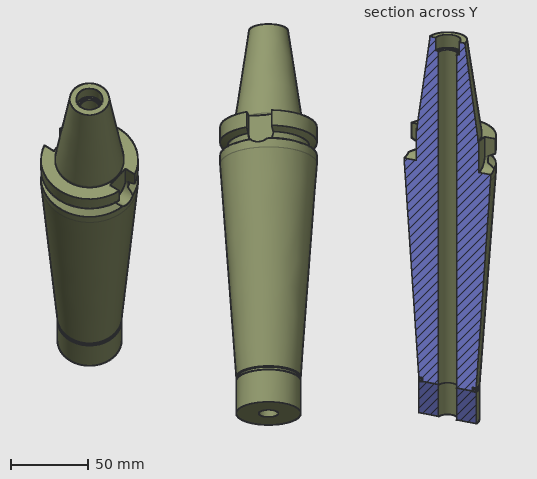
import cadquery as cq

TAPER_LENGTH = 65.3
TAPER_RATIO = 7 / 24
GAUGE_RADIUS = 22.3
TAPER_TIP_RADIUS = GAUGE_RADIUS - TAPER_LENGTH * TAPER_RATIO / 2

OVERALL_LENGTH = 265.5
FLANGE_RADIUS = 63.0 / 2
FLANGE_TOP_Z = -1.5
FLANGE_BOTTOM_Z = -27.0
GROOVE_TOP_Z = -12.2
GROOVE_BOTTOM_Z = -21.2
GROOVE_FLOOR_RADIUS = 26.5
GROOVE_UPPER_FLANK = 2.5
GROOVE_LOWER_FLANK = 2.5

KEYWAY_WIDTH = 16.5
KEYWAY_FLOOR_X = 22.8
KEYWAY_BOTTOM_Z = -23.4

SHANK_END_RADIUS = 21.0
SHANK_END_Z = -175.2
NECK_RADIUS = 18.0

NUT_RADIUS = 21.0
RING_GAP = 0.8
RING_TOP_Z = SHANK_END_Z - RING_GAP
RING_BOTTOM_Z = -177.5
NUT_GAP = 0.3
NUT_TOP_Z = RING_BOTTOM_Z - NUT_GAP
NUT_BOTTOM_Z = TAPER_LENGTH - OVERALL_LENGTH

BORE_RADIUS = 6.5
SOCKET_RADIUS = 8.5
SOCKET_DEPTH = 9.0
BORE_CHAMFER = 0.8


def make_disc(radius, top_z, bottom_z):
    """Solid cylinder on the Z axis between two heights."""
    return cq.Workplane("XY").workplane(offset=bottom_z).circle(radius).extrude(top_z - bottom_z)


def revolve_half_profile(points):
    """Solid of revolution about the Z axis from (radius, height) points."""
    return cq.Workplane("XZ").polyline(points).close().revolve(360, (0, 0, 0), (0, 1, 0))


def make_tube(outer_radius, inner_radius, top_z, bottom_z):
    """Cylinder with a through hole, between two heights."""
    return make_disc(outer_radius, top_z, bottom_z).cut(make_disc(inner_radius, top_z, bottom_z))


def make_keyway_cutter():
    """Round-bottomed slot, open at the flange top, that starts at the keyway floor and runs out in +X."""
    half_width = KEYWAY_WIDTH / 2
    arc_center_z = KEYWAY_BOTTOM_Z + half_width
    return (
        cq.Workplane("YZ")
        .workplane(offset=KEYWAY_FLOOR_X)
        .moveTo(-half_width, FLANGE_TOP_Z)
        .lineTo(-half_width, arc_center_z)
        .threePointArc((0, KEYWAY_BOTTOM_Z), (half_width, arc_center_z))
        .lineTo(half_width, FLANGE_TOP_Z)
        .close()
        .extrude(FLANGE_RADIUS)
    )


def make_bore_cutter():
    """Wide socket at the taper tip, then a chamfered bore down to the end of the neck."""
    socket_floor_z = TAPER_LENGTH - SOCKET_DEPTH
    half_profile = [
        (0, TAPER_LENGTH),
        (SOCKET_RADIUS, TAPER_LENGTH),
        (SOCKET_RADIUS, socket_floor_z),
        (BORE_RADIUS + BORE_CHAMFER, socket_floor_z),
        (BORE_RADIUS, socket_floor_z - BORE_CHAMFER),
        (BORE_RADIUS, NUT_TOP_Z),
        (0, NUT_TOP_Z),
    ]
    return revolve_half_profile(half_profile)


def make_holder():
    """Taper, grooved flange, conical shank and neck, with the keyways and the socketed bore."""
    half_profile = [
        (0, TAPER_LENGTH),
        (TAPER_TIP_RADIUS, TAPER_LENGTH),
        (GAUGE_RADIUS, 0),
        (GAUGE_RADIUS, FLANGE_TOP_Z),
        (FLANGE_RADIUS, FLANGE_TOP_Z),
        (FLANGE_RADIUS, GROOVE_TOP_Z),
        (GROOVE_FLOOR_RADIUS, GROOVE_TOP_Z - GROOVE_UPPER_FLANK),
        (GROOVE_FLOOR_RADIUS, GROOVE_BOTTOM_Z + GROOVE_LOWER_FLANK),
        (FLANGE_RADIUS, GROOVE_BOTTOM_Z),
        (FLANGE_RADIUS, FLANGE_BOTTOM_Z),
        (SHANK_END_RADIUS, SHANK_END_Z),
        (NECK_RADIUS, SHANK_END_Z),
        (NECK_RADIUS, NUT_TOP_Z),
        (0, NUT_TOP_Z),
    ]
    body = revolve_half_profile(half_profile)
    for angle in (0, 180):
        body = body.cut(make_keyway_cutter().rotate((0, 0, 0), (0, 0, 1), angle))
    return body.cut(make_bore_cutter())


def make_ring():
    """Thin ring around the neck, with a narrow gap to the shank above and to the nut below."""
    return make_tube(NUT_RADIUS, NECK_RADIUS, RING_TOP_Z, RING_BOTTOM_Z)


def make_nut():
    """Plain cylindrical nut, bored through, that meets the lower end of the neck."""
    return make_tube(NUT_RADIUS, BORE_RADIUS, NUT_TOP_Z, NUT_BOTTOM_Z)


holder = make_holder()
ring = make_ring()
nut = make_nut()

result = cq.Compound.makeCompound([holder.val(), ring.val(), nut.val()])